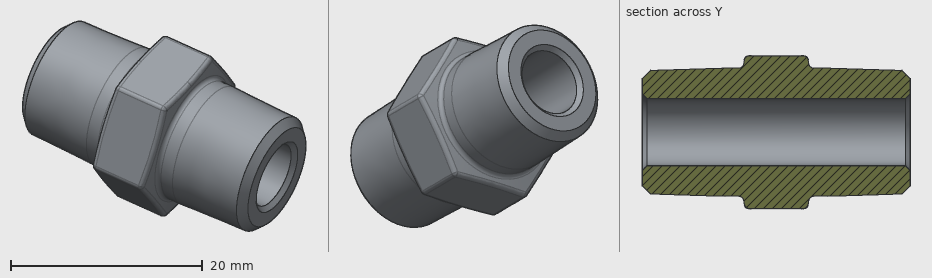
import cadquery as cq
import math

length = 28.0
across_flats = 16.0
edge_radius = 0.5
draft_angle = 10.0

root_radius = 0.5
root_end = 3.92
taper_start = 5.35
thread_diameter = 13.45
taper_slope = 1 / 32
end_chamfer = 0.87

bore_diameter = 7.0
bore_chamfer = 0.5

half_length = length / 2
thread_radius = thread_diameter / 2
bore_radius = bore_diameter / 2
across_corners = across_flats / math.cos(math.radians(30))
draft = math.radians(draft_angle)


def root_fillet_point(angle):
    """Point on the root fillet circle, at an angle from the -X direction toward the axis."""
    x = root_end - root_radius * math.cos(angle)
    radius = thread_radius + root_radius * (1 - math.sin(angle))
    return (x, radius)


def mirrored(point):
    """Same profile point on the other end of the part."""
    return (-point[0], point[1])


def make_turned_body():
    """Everything round about X, with a disc in the middle that is wider than the hexagon."""
    side_foot = root_fillet_point(draft)
    root_middle = root_fillet_point((draft + math.pi / 2) / 2)
    root_foot = (root_end, thread_radius)
    rim_radius = across_corners / 2 + edge_radius
    rim = (side_foot[0] - (rim_radius - side_foot[1]) * math.tan(draft), rim_radius)

    chamfer_start = half_length - end_chamfer
    taper_end_radius = thread_radius - (chamfer_start - taper_start) * taper_slope
    end_outline = [
        (taper_start, thread_radius),
        (chamfer_start, taper_end_radius),
        (half_length, taper_end_radius - end_chamfer),
        (half_length, bore_radius + bore_chamfer),
        (half_length - bore_chamfer, bore_radius),
    ]

    profile = cq.Workplane("XZ").moveTo(*mirrored(rim)).lineTo(*rim).lineTo(*side_foot)
    profile = profile.threePointArc(root_middle, root_foot)
    for point in end_outline:
        profile = profile.lineTo(*point)
    for point in reversed(end_outline):
        profile = profile.lineTo(*mirrored(point))
    profile = profile.lineTo(*mirrored(root_foot))
    profile = profile.threePointArc(mirrored(root_middle), mirrored(side_foot))
    return profile.close().revolve(360, (0, 0, 0), (1, 0, 0))


def make_hexagon_prism():
    """Prism along X with flats facing up and down and corners on the Y axis."""
    return cq.Workplane("YZ").polygon(6, across_corners).extrude(half_length, both=True)


def is_hexagon_edge(edge):
    """True for edges that lie along a hexagon flat, at both ends and in the middle."""
    flat_distance = across_flats / 2
    tolerance = 0.003
    return all(
        math.hypot(point.y, point.z) > flat_distance - tolerance
        for point in (edge.startPoint(), edge.endPoint(), edge.positionAt(0.5))
    )


body = make_turned_body().intersect(make_hexagon_prism())
hexagon_edges = [edge for edge in body.edges().vals() if is_hexagon_edge(edge)]
result = body.newObject(hexagon_edges).fillet(edge_radius)